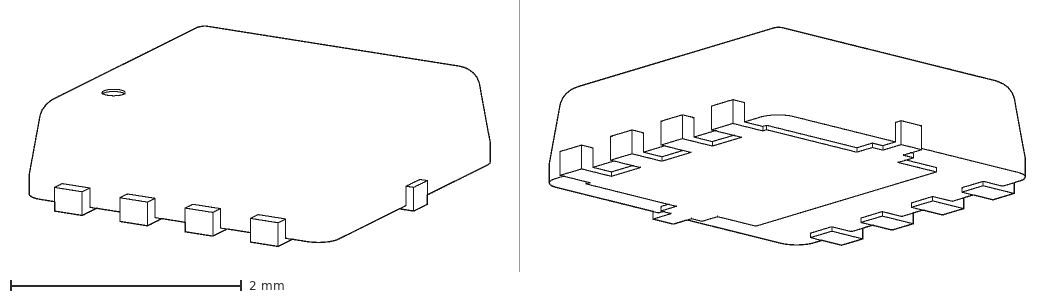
import cadquery as cq

length_x = 3.2
length_y = 3.3
height = 0.915

body_x = 3.05
body_y = 3.03
standoff = 0.04
draft_angle = 10.0
corner_radius = 0.2
top_radius = 0.2

dimple_diameter = 0.2
dimple_depth = 0.02
dimple_offset = 0.93

lead_thickness = 0.215
lead_count = 4
lead_pitch = 0.65
lead_width = 0.275
lead_length = 0.365
tie_bar_width = 0.24

pad_x = 2.325
pad_y_min = -0.69
pad_y_max = 1.3
shoulder_x = 2.725
shoulder_y = 0.485


def frame_block(x_min, x_max, y_min, y_max):
    """Rectangular piece of the lead frame, standing on the seating plane."""
    size = (x_max - x_min, y_max - y_min, lead_thickness)
    return cq.Workplane("XY").box(*size, centered=False).translate((x_min, y_min, 0))


def make_body():
    """Straight foot and drafted upper part with rounded corners and rim."""
    foot = (
        cq.Workplane("XY", origin=(0, 0, standoff))
        .rect(body_x, body_y)
        .extrude(lead_thickness - standoff)
        .edges("|Z")
        .fillet(corner_radius)
    )
    upper = (
        foot.faces(">Z")
        .wires()
        .toPending()
        .workplane()
        .extrude(height - lead_thickness, taper=draft_angle, combine=False)
        .faces(">Z")
        .edges()
        .fillet(top_radius)
    )
    return foot.union(upper)


def make_dimple():
    """Shallow round recess marking pin 1."""
    return (
        cq.Workplane("XY", origin=(-dimple_offset, -dimple_offset, height - dimple_depth))
        .circle(dimple_diameter / 2)
        .extrude(dimple_depth)
    )


def make_lead_frame():
    """Exposed pad, tie bars along X and a row of leads on each Y side."""
    frame = frame_block(-pad_x / 2, pad_x / 2, pad_y_min, pad_y_max)
    shoulder = frame_block(-shoulder_x / 2, shoulder_x / 2, -shoulder_y / 2, shoulder_y / 2)
    tie_bar = frame_block(-length_x / 2, length_x / 2, -tie_bar_width / 2, tie_bar_width / 2)
    frame = frame.union(shoulder).union(tie_bar)

    lead_tip = length_y / 2
    lead_heel = lead_tip - lead_length
    for index in range(lead_count):
        lead_centre = (index - (lead_count - 1) / 2) * lead_pitch
        x_min = lead_centre - lead_width / 2
        x_max = lead_centre + lead_width / 2
        frame = frame.union(frame_block(x_min, x_max, -lead_tip, -lead_heel))
        frame = frame.union(frame_block(x_min, x_max, lead_heel, lead_tip))
    return frame


result = make_body().union(make_lead_frame()).cut(make_dimple())